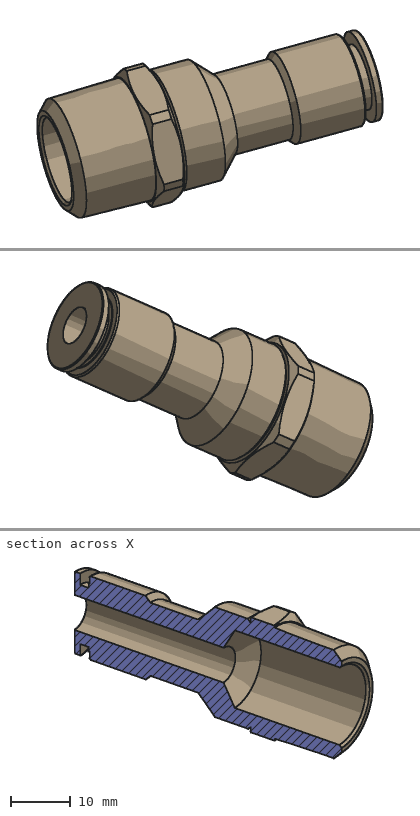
import cadquery as cq
import math

length = 55.65

thread_tip_radius = 10.35
thread_root_radius = 10.65
thread_chamfer = 1.65

hex_start = 13.95
hex_end = 19.05
hex_across_flats = 22.0
hex_corner_radius = 12.25
hex_face_radius = 10.8
hex_chamfer_angle = 30.0

body_radius = 10.5
body_chamfer = 0.5
stem_radius = 7.0
stem_start = 29.95
shoulder_start = stem_start - (body_radius - stem_radius)

sleeve_radius = 8.0
sleeve_start = 39.85
sleeve_end = 52.6
sleeve_front_chamfer = sleeve_radius - stem_radius
sleeve_rear_chamfer = 0.3
rim_radius = 6.5
rim_height = 0.15

collar_neck_radius = 5.7
collar_radius = 7.85
collar_thickness = 1.2
collar_chamfer = 0.15

passage_radius = 3.3
bore_radius = 7.35
bore_depth = 22.25
bore_point_angle = 120.0
mouth_chamfer = 0.45


def revolve_profile(points):
    """Turn (radius, Y) points about the Y axis, closing the outline along the axis."""
    outline = [(0, points[0][1])] + points + [(0, points[-1][1])]
    return cq.Workplane("XY").polyline(outline).close().revolve(360, (0, 0), (0, 1))


def make_turned_body():
    return revolve_profile([
        (thread_tip_radius - thread_chamfer, 0),
        (thread_tip_radius, thread_chamfer),
        (thread_root_radius, hex_start),
        (body_radius - body_chamfer, hex_start),
        (body_radius - body_chamfer, hex_end),
        (body_radius, hex_end + body_chamfer),
        (body_radius, shoulder_start),
        (stem_radius, stem_start),
        (stem_radius, sleeve_start),
        (sleeve_radius, sleeve_start + sleeve_front_chamfer),
        (sleeve_radius, sleeve_end - sleeve_rear_chamfer),
        (sleeve_radius - sleeve_rear_chamfer, sleeve_end),
        (rim_radius, sleeve_end),
        (rim_radius, sleeve_end + rim_height),
        (collar_neck_radius, sleeve_end + rim_height),
        (collar_neck_radius, length - collar_thickness),
        (collar_radius, length - collar_thickness),
        (collar_radius, length - collar_chamfer),
        (collar_radius - collar_chamfer, length),
    ])


def make_hexagon():
    """Hexagon with flats facing +Z and -Z, its corners turned down and chamfered on both faces."""
    chamfer_height = (hex_corner_radius - hex_face_radius) * math.tan(math.radians(hex_chamfer_angle))
    prism = (
        cq.Workplane("XZ", origin=(0, hex_end, 0))
        .polygon(6, hex_across_flats / math.cos(math.pi / 6))
        .extrude(hex_end - hex_start)
    )
    envelope = revolve_profile([
        (hex_face_radius, hex_start),
        (hex_corner_radius, hex_start + chamfer_height),
        (hex_corner_radius, hex_end - chamfer_height),
        (hex_face_radius, hex_end),
    ])
    return prism.intersect(envelope)


def make_bore():
    """Chamfered bore with a conical bottom leading into the through passage."""
    cone_height = (bore_radius - passage_radius) / math.tan(math.radians(bore_point_angle / 2))
    return revolve_profile([
        (bore_radius + mouth_chamfer, 0),
        (bore_radius, mouth_chamfer),
        (bore_radius, bore_depth),
        (passage_radius, bore_depth + cone_height),
        (passage_radius, length),
    ])


result = make_turned_body().union(make_hexagon()).cut(make_bore())